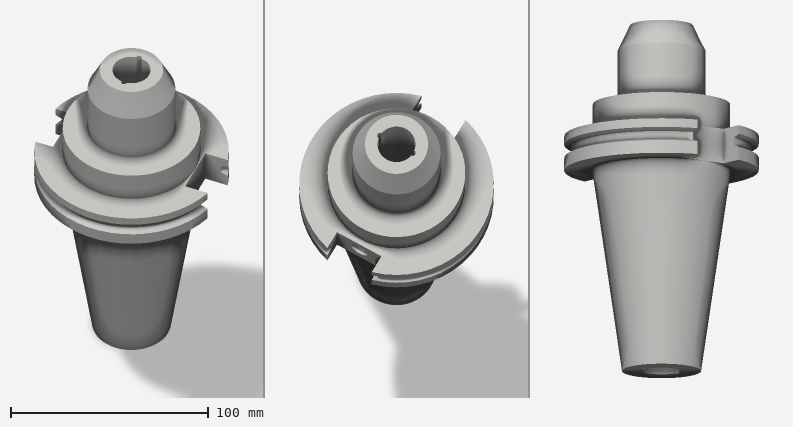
import cadquery as cq

TOTAL_HEIGHT = 177.8
TAPER_HEIGHT = 101.5
FLANGE_BOTTOM = 103.1
FLANGE_TOP = 120.9
HUB_TOP = 137.0
NOSE_CONE_HEIGHT = 13.0

TAPER_RATIO = 7 / 24
TAPER_LARGE_RADIUS = 34.8
TAPER_SMALL_RADIUS = TAPER_LARGE_RADIUS - TAPER_HEIGHT * TAPER_RATIO / 2
FLANGE_RADIUS = 49.3
HUB_RADIUS = 34.8
NOSE_RADIUS = 22.2
NOSE_TIP_RADIUS = 16.0

FOOT_WIDTH = 1.6
FOOT_HEIGHT = 1.0
FOOT_SAG_WIDTH = 0.45
FOOT_SAG_HEIGHT = 0.4

GROOVE_RADIUS = 45.7
GROOVE_CENTER = 113.0
GROOVE_FLOOR_WIDTH = 4.0
GROOVE_MOUTH_WIDTH = 6.8

SLOT_WIDTH = 26.0
LEFT_SLOT_FLOOR = 37.7
RIGHT_SLOT_FLOOR = 35.0
DRIVE_HOLE_DIAMETER = 9.6
DRIVE_HOLE_DEPTH = 5.3
DRIVE_HOLE_HEIGHT = 112.9

BORE_RADIUS = 9.6
COOLANT_GROOVE_RADIUS = 1.5


def turned_body():
    """Revolve the half outline about Z."""
    floor_low = GROOVE_CENTER - GROOVE_FLOOR_WIDTH / 2
    floor_high = GROOVE_CENTER + GROOVE_FLOOR_WIDTH / 2
    mouth_low = GROOVE_CENTER - GROOVE_MOUTH_WIDTH / 2
    mouth_high = GROOVE_CENTER + GROOVE_MOUTH_WIDTH / 2
    return (
        cq.Workplane("XZ")
        .moveTo(0, 0)
        .lineTo(TAPER_SMALL_RADIUS, 0)
        .lineTo(TAPER_LARGE_RADIUS, TAPER_HEIGHT)
        .lineTo(TAPER_LARGE_RADIUS, FLANGE_BOTTOM)
        .lineTo(FLANGE_RADIUS, FLANGE_BOTTOM)
        .lineTo(FLANGE_RADIUS, mouth_low)
        .lineTo(GROOVE_RADIUS, floor_low)
        .lineTo(GROOVE_RADIUS, floor_high)
        .lineTo(FLANGE_RADIUS, mouth_high)
        .lineTo(FLANGE_RADIUS, FLANGE_TOP)
        .lineTo(HUB_RADIUS, FLANGE_TOP)
        .lineTo(HUB_RADIUS, HUB_TOP)
        .lineTo(NOSE_RADIUS + FOOT_WIDTH, HUB_TOP)
        .threePointArc(
            (NOSE_RADIUS + FOOT_SAG_WIDTH, HUB_TOP + FOOT_SAG_HEIGHT),
            (NOSE_RADIUS, HUB_TOP + FOOT_HEIGHT),
        )
        .lineTo(NOSE_RADIUS, TOTAL_HEIGHT - NOSE_CONE_HEIGHT)
        .lineTo(NOSE_TIP_RADIUS, TOTAL_HEIGHT)
        .lineTo(0, TOTAL_HEIGHT)
        .close()
        .revolve(360, (0, 0), (0, 1))
    )


def drive_slot(floor, side):
    """Block that clears one slot through the flange; side is -1 or 1 along X."""
    length = FLANGE_RADIUS
    return cq.Workplane("XY").box(length, SLOT_WIDTH, FLANGE_TOP - FLANGE_BOTTOM).translate(
        (side * (floor + length / 2), 0, (FLANGE_TOP + FLANGE_BOTTOM) / 2)
    )


def drive_hole():
    """Blind hole running inward from the floor of the left slot."""
    return (
        cq.Workplane("YZ", origin=(-LEFT_SLOT_FLOOR, 0, DRIVE_HOLE_HEIGHT))
        .circle(DRIVE_HOLE_DIAMETER / 2)
        .extrude(DRIVE_HOLE_DEPTH)
    )


def bore():
    """Through bore widened by a round groove on each Y side."""
    cutter = cq.Workplane("XY").circle(BORE_RADIUS).extrude(TOTAL_HEIGHT)
    grooves = (
        cq.Workplane("XY")
        .pushPoints([(0, BORE_RADIUS), (0, -BORE_RADIUS)])
        .circle(COOLANT_GROOVE_RADIUS)
        .extrude(TOTAL_HEIGHT)
    )
    return cutter.union(grooves)


result = (
    turned_body()
    .cut(drive_slot(LEFT_SLOT_FLOOR, -1))
    .cut(drive_slot(RIGHT_SLOT_FLOOR, 1))
    .cut(drive_hole())
    .cut(bore())
)